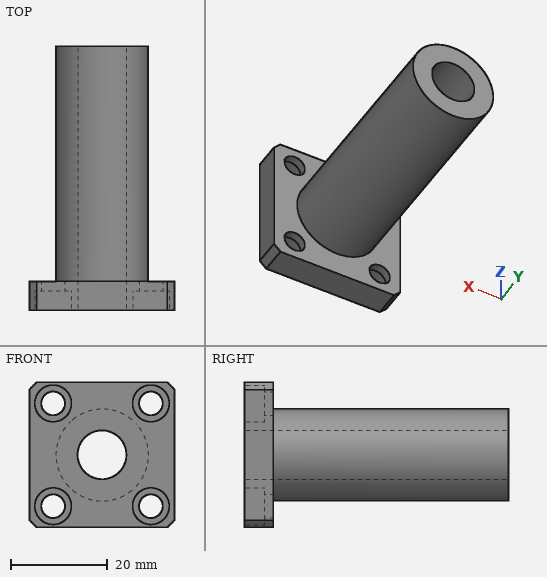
import cadquery as cq

total_length = 54.5
flange_side = 30.0
flange_thickness = 6.0
corner_chamfer = 1.5

sleeve_diameter = 19.0
bore_diameter = 10.05

hole_spacing_x = 20.15
hole_spacing_z = 21.2
hole_diameter = 4.85
counterbore_diameter = 7.6
counterbore_depth = 4.1


def front_plane():
    """Sketch plane on the flange front; negative extrusions run toward +Y."""
    return cq.Workplane("XZ")


def make_flange():
    """Square plate with its four corners cut off."""
    plate = front_plane().rect(flange_side, flange_side).extrude(-flange_thickness)
    return plate.edges("|Y").chamfer(corner_chamfer)


def make_sleeve():
    """Plain round sleeve running the full length of the part."""
    return front_plane().circle(sleeve_diameter / 2).extrude(-total_length)


def make_bore():
    return front_plane().circle(bore_diameter / 2).extrude(-total_length)


def make_mounting_holes():
    """Four through holes, counterbored from the front face of the flange."""
    pattern = front_plane().rect(hole_spacing_x, hole_spacing_z, forConstruction=True).vertices()
    holes = pattern.circle(hole_diameter / 2).extrude(-flange_thickness)
    counterbores = pattern.circle(counterbore_diameter / 2).extrude(-counterbore_depth)
    return holes.union(counterbores)


body = make_flange().cut(make_mounting_holes())
result = body.union(make_sleeve()).cut(make_bore())